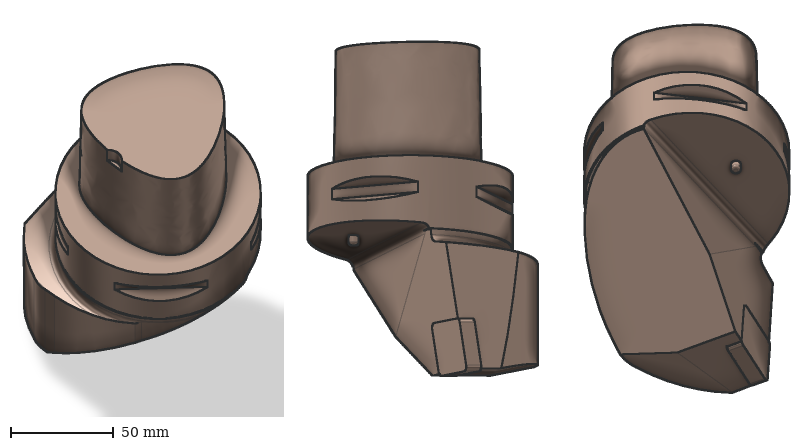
import cadquery as cq
import math


shank_length = 60.3
lobe_mean_radius = 35.5
lobe_eccentricity = 3.4
shank_taper = 1.0
lobe_points = 36
key_radius = 6.5
key_depth = 8.3
key_centre_y = -35.2

flange_radius = 50.0
flange_height = 36.0
groove_bottom_distance = 44.5
groove_middle_z = -15.6
groove_bottom_width = 5.1
groove_mouth_width = 11.5
groove_count = 4

neck_radius = 49.5
neck_end_z = -39.1
shoulder_radius = 53.0
shoulder_z = -43.2
shoulder_slope = 0.22
envelope_radius = 85.0
head_floor = -127.5

flank_top_back = (-61.7, 7.5, -45.2)
flank_bottom_back = (-67.3, 0, -107.5)
flank_top_front = (-58.3, -30.8, -47.1)
relief_heel = (-67.1, 0.3, -108.6)
relief_break_left = (-66.0, -20.4, -106.5)
relief_break_right = (-32.3, -28.9, -103.0)
relief_front = (-32.5, -53.4, -95.7)
tail_rim = (50.3, 0, -36.5)
tail_rim_behind = (50.3, 17, -36.5)
tail_end = (-35.2, 0, -105.9)

lobe_back_y = 20.4
lobe_left_x = -71.2
lobe_left_bulge = (-53.2, -38.8)
lobe_blend_start = (-32.5, -53.7)
lobe_blend_middle = (-27.9, -55.6)
lobe_front_y = -56.1
lobe_flat_left_x = -23.0
lobe_flat_right_x = -16.7
lobe_right_bulge = (4.2, -53.0)
lobe_right_end = (25.2, -43.2)
lobe_neck_contact = (28.2, -40.5)
shoulder_fillet_middle = (50.3, -41.8)

back_y = 9.9
clearance_root_z = -33.7
clearance_rim_z = -30.5
clearance_fillet = 4.2

nozzle_radius = 5.0 / 2
nozzle_y = 29.7
nozzle_tip_z = -36.5
nozzle_root_z = -25.5
nozzle_round = 1.4

rake_offset = 19.9
rake_x = 0.134
rake_z = 0.114

insert_side = 26.7
insert_angle = 80.0
insert_thickness = 8.5
insert_corner_radius = 2.4
insert_tip_x = -68.3
insert_tip_z = -109.8
insert_edge_rise = 4.5

cutter_size = 510.0


def rake_y(x, z):
    return rake_offset + rake_x * x + rake_z * z


def cut_beyond(body, a, b, c):
    """Remove everything on the side of plane abc that (b - a) x (c - a) points to."""
    origin = cq.Vector(*a)
    along = cq.Vector(*b) - origin
    normal = along.cross(cq.Vector(*c) - origin)
    plane = cq.Plane(origin=origin, xDir=along, normal=normal)
    return body.cut(cq.Workplane(plane).rect(cutter_size, cutter_size).extrude(cutter_size))


def lobe_outline(mean_radius):
    """Trochoid with one lobe toward +Y."""
    points = []
    for i in range(lobe_points):
        turn = 2 * math.pi * i / lobe_points
        x = mean_radius * math.sin(turn) - lobe_eccentricity * math.sin(2 * turn)
        y = mean_radius * math.cos(turn) + lobe_eccentricity * math.cos(2 * turn)
        points.append(cq.Vector(x, y, 0))
    return cq.Wire.assembleEdges([cq.Edge.makeSpline(points, periodic=True)])


def make_shank():
    base = lobe_outline(lobe_mean_radius)
    end = lobe_outline(lobe_mean_radius - shank_taper).translate(cq.Vector(0, 0, shank_length))
    shank = cq.Workplane(obj=cq.Solid.makeLoft([base, end], True))
    key = (cq.Workplane("XY", origin=(0, 0, shank_length - key_depth))
           .center(0, key_centre_y).circle(key_radius).extrude(2 * key_depth))
    return shank.cut(key)


def make_flange():
    flange = cq.Workplane("XY").circle(flange_radius).extrude(-flange_height)
    rim_gap = flange_radius - groove_bottom_distance
    flank_growth = (groove_mouth_width - groove_bottom_width) / 2 / rim_gap
    outer_distance = flange_radius + rim_gap
    outer_half = groove_bottom_width / 2 + 2 * rim_gap * flank_growth
    groove = (cq.Workplane("XZ", origin=(0, 0, groove_middle_z))
              .moveTo(groove_bottom_distance, -groove_bottom_width / 2)
              .lineTo(outer_distance, -outer_half)
              .lineTo(outer_distance, outer_half)
              .lineTo(groove_bottom_distance, groove_bottom_width / 2)
              .close().extrude(flange_radius, both=True))
    for i in range(groove_count):
        angle = (i + 0.5) * 360 / groove_count
        flange = flange.cut(groove.rotate((0, 0, 0), (0, 0, 1), angle))
    return flange


def make_head():
    """Neck disc joined with the side lobe, below a revolved shoulder."""
    neck = cq.Workplane("XY", origin=(0, 0, head_floor)).circle(neck_radius)
    neck = neck.extrude(-flange_height - head_floor)
    lobe = (cq.Workplane("XY", origin=(0, 0, head_floor))
            .moveTo(0, lobe_back_y)
            .lineTo(lobe_left_x, lobe_back_y)
            .lineTo(lobe_left_x, 0)
            .threePointArc(lobe_left_bulge, lobe_blend_start)
            .threePointArc(lobe_blend_middle, (lobe_flat_left_x, lobe_front_y))
            .lineTo(lobe_flat_right_x, lobe_front_y)
            .threePointArc(lobe_right_bulge, lobe_right_end)
            .lineTo(*lobe_neck_contact)
            .close().extrude(-flange_height - head_floor))
    rim_z = shoulder_z - shoulder_slope * (envelope_radius - shoulder_radius)
    envelope = (cq.Workplane("XZ")
                .moveTo(0, -flange_height)
                .lineTo(neck_radius, -flange_height)
                .lineTo(neck_radius, neck_end_z)
                .threePointArc(shoulder_fillet_middle, (shoulder_radius, shoulder_z))
                .lineTo(envelope_radius, rim_z)
                .lineTo(envelope_radius, head_floor)
                .lineTo(0, head_floor)
                .close().revolve(360, (0, 0, 0), (0, 1, 0)))
    head = neck.union(lobe).intersect(envelope)

    head = cut_beyond(head, flank_top_back, flank_bottom_back, flank_top_front)
    head = cut_beyond(head, relief_heel, relief_break_right, relief_break_left)
    head = cut_beyond(head, relief_break_left, relief_break_right, relief_front)
    head = cut_beyond(head, tail_rim, tail_end, tail_rim_behind)
    rake_top = (0, rake_y(0, 0), 0)
    rake_bottom = (0, rake_y(0, head_floor), head_floor)
    rake_left = (lobe_left_x, rake_y(lobe_left_x, 0), 0)
    head = cut_beyond(head, rake_top, rake_bottom, rake_left)
    return head


def make_clearance():
    """Space behind the head, under the sloping underside of the flange."""
    return (cq.Workplane("YZ")
            .moveTo(back_y, head_floor)
            .lineTo(back_y, clearance_root_z)
            .lineTo(flange_radius, clearance_rim_z)
            .lineTo(2 * flange_radius, 2 * clearance_rim_z - clearance_root_z)
            .lineTo(2 * flange_radius, head_floor)
            .close().extrude(2 * flange_radius, both=True)
            .edges(cq.selectors.NearestToPointSelector((0, back_y, clearance_root_z)))
            .fillet(clearance_fillet))


def make_nozzle():
    return (cq.Workplane("XY", origin=(0, nozzle_y, nozzle_tip_z))
            .circle(nozzle_radius).extrude(nozzle_root_z - nozzle_tip_z)
            .faces("<Z").edges().fillet(nozzle_round))


def make_insert():
    rise = math.radians(insert_edge_rise)
    edge_x = math.cos(rise)
    edge_z = math.sin(rise)
    plane = cq.Plane(
        origin=(insert_tip_x, rake_y(insert_tip_x, insert_tip_z), insert_tip_z),
        xDir=(edge_x, rake_x * edge_x + rake_z * edge_z, edge_z),
        normal=(rake_x, -1, rake_z))
    side_angle = math.radians(insert_angle)
    side_x = insert_side * math.cos(side_angle)
    side_y = insert_side * math.sin(side_angle)
    return (cq.Workplane(plane)
            .polyline([(0, 0), (insert_side, 0), (insert_side + side_x, side_y), (side_x, side_y)])
            .close().extrude(insert_thickness)
            .edges(cq.selectors.ParallelDirSelector(plane.zDir)).fillet(insert_corner_radius))


def make_holder(insert):
    body = make_flange().union(make_head()).cut(make_clearance())
    body = body.union(make_shank()).union(make_nozzle())
    return body.cut(insert)


insert = make_insert()
holder = make_holder(insert)
result = cq.Compound.makeCompound([holder.solids().val(), insert.val()])